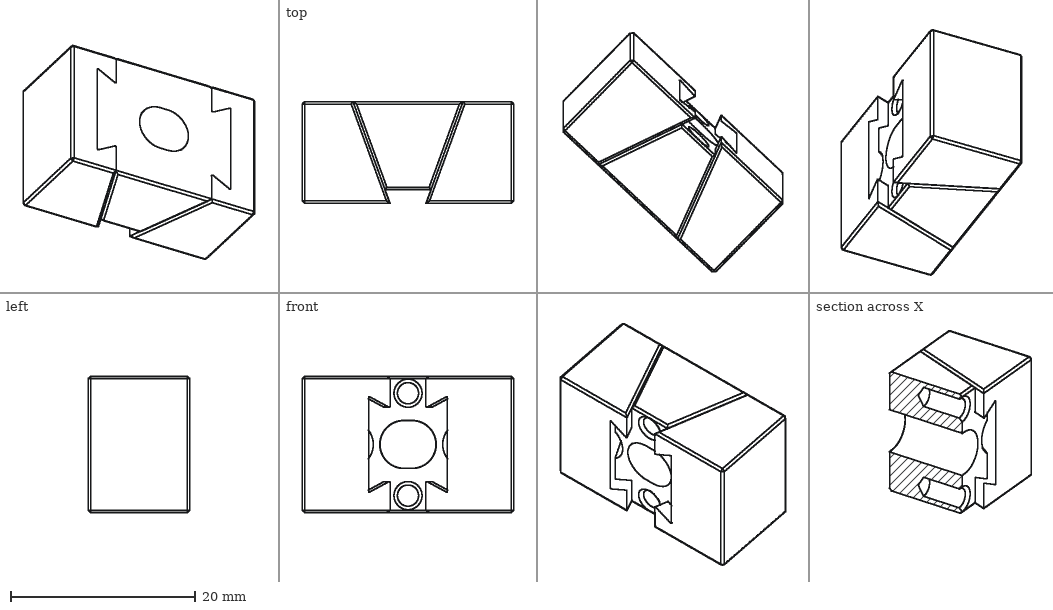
import cadquery as cq
import math

LENGTH = 22.98
DEPTH = 11.05
HEIGHT = 14.8
EDGE_CHAMFER = 0.28

TAPER_ANGLE = 20.0
JAW_GAP = 3.9
WEDGE_SETBACK = 1.5

DOVETAIL_DEPTH = 2.18
DOVETAIL_MOUTH = 7.95
DOVETAIL_ANGLE = 30.0
DOVETAIL_FILLET = 0.1
DOVETAIL_BASE = 0.45

SLOT_LENGTH = 6.1
SLOT_HEIGHT = 5.17
SCREW_OFFSET = 5.55
SCREW_DIAMETER = 2.3
SCREW_DEPTH = 5.05
SCREW_TIP_ANGLE = 118.0
COUNTERSINK_DIAMETER = 3.05
COUNTERSINK_ANGLE = 90.0

RECESS_RADIUS = 2.5
RECESS_HALF_ANGLE = 30.0
RECESS_OFFSET = 6.27

FRONT = -DEPTH / 2
BACK = DEPTH / 2
WEDGE_FRONT = FRONT + WEDGE_SETBACK
TAPER = math.tan(math.radians(TAPER_ANGLE))


def joint_x(y):
    """Half-width of the wedge at depth y."""
    return JAW_GAP / 2 + (y - FRONT) * TAPER


def block(outline):
    """Full-height prism standing on an XY outline."""
    return cq.Workplane("XY").polyline(outline).close().extrude(HEIGHT / 2, both=True)


def dovetail(side, start):
    """Dovetail bar along a tapered face from depth start to the back, with a base in the wedge."""
    mouth = DOVETAIL_MOUTH / 2
    root = mouth + DOVETAIL_DEPTH * math.tan(math.radians(DOVETAIL_ANGLE))
    base = mouth + DOVETAIL_BASE
    upper = [(-DOVETAIL_BASE, base), (0, base), (0, mouth), (DOVETAIL_DEPTH, root)]
    lower = [(x, -z) for x, z in reversed(upper)]
    section = cq.Sketch().polygon([*upper, *lower, upper[0]]).vertices().fillet(DOVETAIL_FILLET)
    taper_plane = cq.Plane(
        origin=(side * joint_x(0), 0, 0),
        xDir=(side, -TAPER, 0),
        normal=(side * TAPER, 1, 0),
    )
    bar = cq.Workplane(taper_plane).placeSketch(section).extrude(DEPTH, both=True)
    length = BACK - start
    slab = cq.Workplane("XY").box(2 * LENGTH, length, HEIGHT).translate((0, start + length / 2, 0))
    return bar.intersect(slab)


def make_jaw(side):
    """Side jaw with a tapered inner face and a dovetail groove."""
    outer = side * LENGTH / 2
    jaw = block(
        [
            (outer, FRONT),
            (side * joint_x(FRONT), FRONT),
            (side * joint_x(BACK), BACK),
            (outer, BACK),
        ]
    )
    outer_face = ">X" if side > 0 else "<X"
    jaw = jaw.edges(f"#Z or ({outer_face} and |Z)").chamfer(EDGE_CHAMFER)
    return jaw.cut(dovetail(side, FRONT))


def make_screw_hole(z):
    """Blind drilled hole with a countersunk mouth, as a revolved cutter."""
    radius = SCREW_DIAMETER / 2
    sink_radius = COUNTERSINK_DIAMETER / 2
    sink_depth = (sink_radius - radius) / math.tan(math.radians(COUNTERSINK_ANGLE / 2))
    tip_depth = radius / math.tan(math.radians(SCREW_TIP_ANGLE / 2))
    return (
        cq.Workplane("XY", origin=(0, WEDGE_FRONT, z))
        .polyline(
            [
                (0, 0),
                (sink_radius, 0),
                (radius, sink_depth),
                (radius, SCREW_DEPTH),
                (0, SCREW_DEPTH + tip_depth),
            ]
        )
        .close()
        .revolve(360, (0, 0, 0), (0, 1, 0))
    )


def make_recess(side):
    """Cone cutter that narrows toward the back from the wedge front face."""
    depth = RECESS_RADIUS / math.tan(math.radians(RECESS_HALF_ANGLE))
    center = cq.Vector(side * RECESS_OFFSET, WEDGE_FRONT, 0)
    return cq.Workplane(cq.Solid.makeCone(RECESS_RADIUS, 0, depth, center, cq.Vector(0, 1, 0)))


def make_wedge():
    """Central wedge with a tongue on each tapered side."""
    wedge = block(
        [
            (-joint_x(WEDGE_FRONT), WEDGE_FRONT),
            (joint_x(WEDGE_FRONT), WEDGE_FRONT),
            (joint_x(BACK), BACK),
            (-joint_x(BACK), BACK),
        ]
    )
    wedge = wedge.edges("#Z").chamfer(EDGE_CHAMFER)
    for side in (-1, 1):
        wedge = wedge.union(dovetail(side, WEDGE_FRONT))
        wedge = wedge.cut(make_recess(side))
    slot = cq.Workplane("XZ").slot2D(SLOT_LENGTH, SLOT_HEIGHT).extrude(DEPTH, both=True)
    wedge = wedge.cut(slot)
    for z in (-SCREW_OFFSET, SCREW_OFFSET):
        wedge = wedge.cut(make_screw_hole(z))
    return wedge


wedge = make_wedge().solids().val()
jaws = [make_jaw(side).solids().val() for side in (-1, 1)]

result = cq.Compound.makeCompound([wedge, *jaws])